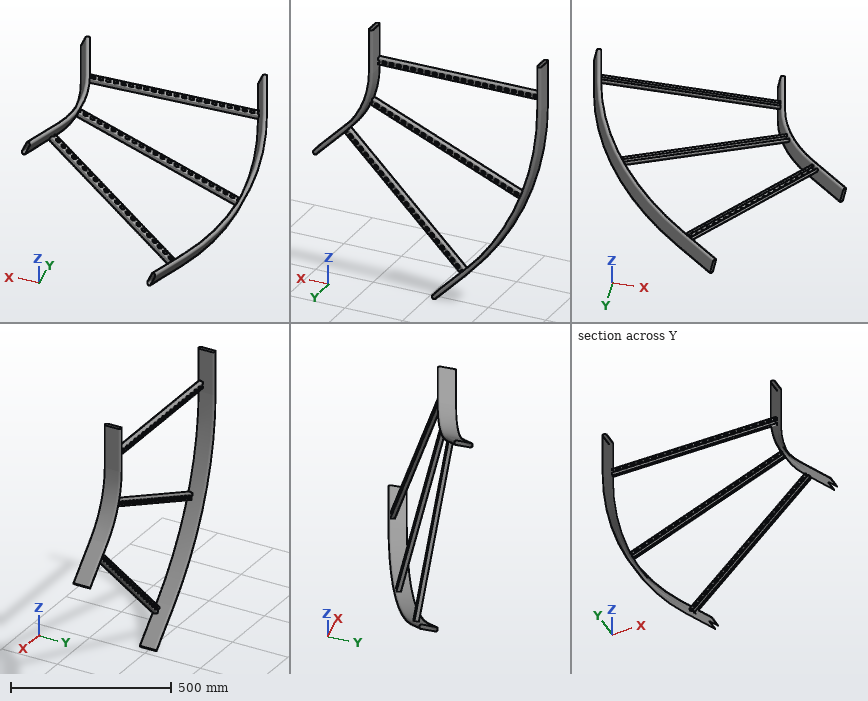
import cadquery as cq

bend_angle = 45.0
outer_radius = 900.0
inner_radius = 300.0
straight_length = 150.0

rail_width = 15.0
rail_depth = 60.0
rail_wall = 1.0

rung_width = 31.0
rung_back_width = 21.0
rung_depth = 15.0
rung_wall = 1.0
rung_bend_radius = 2.5
rung_opening = 11.7
rung_lip_depth = 3.5
rung_front_y = -25.0
rung_inset = 25.0

slot_length = 15.0
slot_width = 11.0
slot_pitch = 25.0
slot_count = 24

outer_rail_radius = outer_radius - rail_width / 2
inner_rail_radius = inner_radius + rail_width / 2
rung_start_radius = inner_radius + rail_width
rung_end_radius = outer_radius - rail_width
rung_length = rung_end_radius - rung_start_radius
rung_middle_x = -(rung_start_radius + rung_end_radius) / 2
rung_back_y = rung_front_y + rung_depth
lip_end_y = rung_front_y + rung_lip_depth
groove_floor_y = rung_front_y + rung_depth / 2


def turn(body, angle):
    """Turn a body about the bend axis, along the run of the rails."""
    return body.rotate((0, 0, 0), (0, 1, 0), -angle)


def rail_bar(radius, width, depth):
    """Solid obround bar running straight, around the arc, and straight again."""

    def section():
        return cq.Workplane("XY").center(-radius, 0).slot2D(depth, width, 90)

    start = section().extrude(straight_length)
    arc = section().revolve(bend_angle, (radius, 0, 0), (radius, -1, 0))
    end = turn(section().extrude(-straight_length), bend_angle)
    return start.union(arc).union(end)


def make_rail(radius):
    """Hollow side rail, open at both ends."""
    outside = rail_bar(radius, rail_width, rail_depth)
    bore = rail_bar(radius, rail_width - 2 * rail_wall, rail_depth - 2 * rail_wall)
    return outside.cut(bore)


def rung_blank():
    """Solid rung outline: tapered towards the back, grooved along the front, with rounded edges."""
    half_outline = [
        (rung_back_y, rung_back_width / 2),
        (rung_front_y, rung_width / 2),
        (rung_front_y, rung_opening / 2),
        (groove_floor_y, rung_opening / 2),
    ]
    mirrored_outline = [(y, -z) for y, z in reversed(half_outline)]
    return (
        cq.Workplane("YZ", origin=(-rung_end_radius, 0, 0))
        .polyline(half_outline + mirrored_outline)
        .close()
        .extrude(rung_length)
        .edges("|X and (<Y or >Y)")
        .fillet(rung_bend_radius)
    )


def make_rung():
    """Slotted rung lying along X between the rails, centred at Z = 0."""
    channel = rung_blank().faces("<X or >X").shell(-rung_wall)

    groove_wall = (
        cq.Workplane("XZ", origin=(rung_middle_x, lip_end_y, 0))
        .rect(rung_length, rung_opening + 2 * rung_wall)
        .extrude(-(groove_floor_y + rung_wall - lip_end_y))
    )
    slots = (
        cq.Workplane("XZ", origin=(rung_middle_x, rung_back_y, 0))
        .rarray(slot_pitch, 1, slot_count, 1)
        .slot2D(slot_length, slot_width)
        .extrude(rung_wall)
    )
    return channel.cut(groove_wall).cut(slots)


def trim_to_outer_rail(rung):
    """Round the outer end of a rung to the curved face of the outer rail."""
    inside_of_bend = cq.Workplane("XZ").circle(rung_end_radius).extrude(rail_depth / 2, both=True)
    return rung.intersect(inside_of_bend)


outer_rail = make_rail(outer_rail_radius)
inner_rail = make_rail(inner_rail_radius)

rung_places = [
    (0, rung_inset),
    (bend_angle / 2, 0),
    (bend_angle, -rung_inset),
]
rungs = []
for rung_angle, rung_shift in rung_places:
    rung = make_rung().translate((0, 0, rung_shift))
    if rung_shift == 0:
        rung = trim_to_outer_rail(rung)
    rungs.append(turn(rung, rung_angle))

result = cq.Compound.makeCompound(
    [
        outer_rail.solids().val(),
        inner_rail.solids().val(),
        *[rung.solids().val() for rung in rungs],
    ]
)